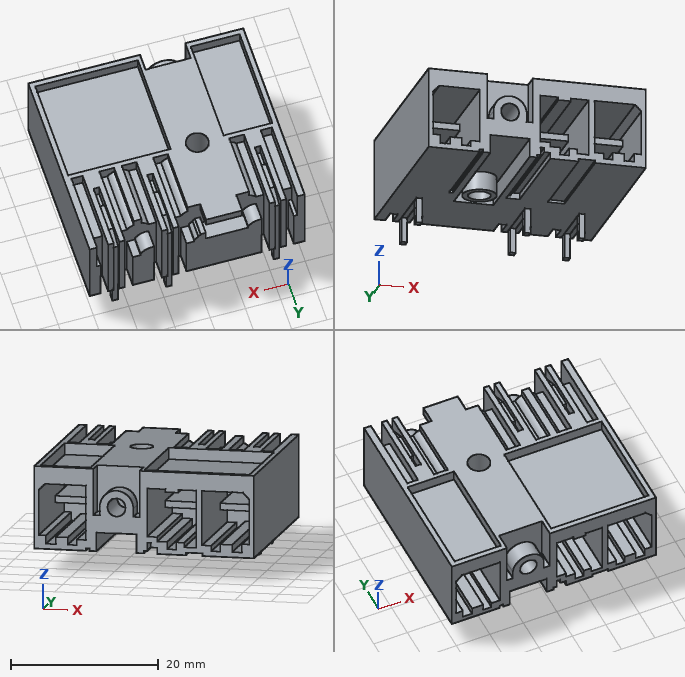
import cadquery as cq
import math

WIDTH = 30.48
DEPTH = 28.3
HEIGHT = 11.4
PITCH = WIDTH / 4
FLANGE_X = 1.5 * PITCH
CONTACT_XS = [0.5 * PITCH, 2.5 * PITCH, 3.5 * PITCH]

CAVITY_DEPTH = 15.88
CAVITY_ROOF = 9.02
CAVITY_CHAMFER = 0.88
GROOVE_FLOOR = 0.73
RIDGE_TOP = 1.75

END_LEFT = 0.65
END_RIGHT = 7.2
END_GROOVE_A = (1.65, 3.02)
END_GROOVE_B = (4.65, 5.9)
END_OUTER_STEP = 1.9
END_INNER_STEP = 1.5

MIDDLE_LEFT = 15.67
MIDDLE_RIGHT = 22.45
MIDDLE_GROOVE = (18.45, 19.7)
MIDDLE_LEFT_STEP = 2.35
MIDDLE_LEFT_STEP_END = 17.07
MIDDLE_RIGHT_STEP = 1.1
MIDDLE_RIGHT_STEP_START = 20.82
MIDDLE_KEY = (18.2, 19.95)
MIDDLE_KEY_HEIGHT = 0.4

RIM = 0.75
TOP_POCKET_DEPTH = 1.6
LEFT_POCKET_END = 7.68
RIGHT_POCKET_START = 15.18

FLANGE_WIDTH = 6.4
FLANGE_RECESS_DEPTH = 2.53
FLANGE_FLOOR = 5.0
SCREW_Z = 6.2
SCREW_BOSS_RADIUS = 2.32
SCREW_HOLE_RADIUS = 1.25
SCREW_HOLE_DEPTH = 6.1

MOUNT_Y = 15.95
MOUNT_HOLE_RADIUS = 1.55
MOUNT_BOSS_RADIUS = 2.35
UNDER_RECESS_WIDTH = 5.55
UNDER_RECESS_HEIGHT = 2.6
UNDER_RECESS_END = 18.9

NOTCH_HEIGHT = 0.37
NARROW_NOTCH = (7.15, 7.68)
WIDE_NOTCH = (21.03, 23.35)
STEPPED_NOTCH = (15.2, 17.07)
STEPPED_PEAK = (15.7, 16.22)
STEPPED_PEAK_HEIGHT = 1.5
STEPPED_RIGHT_HEIGHT = 0.85

GAP_FRONT = 16.55
REAR_STEP_Y = 25.63
GAP_FLOOR = 9.72
FIN_OUTER = 1.2
WALL_HALF = 0.55
OUTER_WALL = 1.05
LEFT_WALLS = [OUTER_WALL, WALL_HALF, WALL_HALF]
RIGHT_WALLS = [WALL_HALF, WALL_HALF, OUTER_WALL]
DOME_RADIUS = 1.83
RIB_HALF = 1.52
DOME_CENTRE_Z = GAP_FLOOR - math.sqrt(DOME_RADIUS**2 - RIB_HALF**2)

DECK_Z = 6.83
RIB_CREST_Z = 8.08
CREST_OFFSET = 1.22
CREST_END = 0.4
OUTER_RIB = 1.55
TAB_WIDTH = 5.12
TAB_THICKNESS = 1.25
KEY_START = 14.02
KEY_END = 14.75
CREST_STEP_X = 15.1
CREST_STEP = 0.12

PLATE_THICKNESS = 0.8
PLATE_FRONT = DEPTH - 9.3
PLATE_BACK = DEPTH - 0.6
PLATE_STEP_Y = DEPTH - 6.8
PLATE_SLOPE_Y = DEPTH - 2.85
PLATE_TOP = 10.6
PLATE_FRONT_TOP = 9.75
PLATE_BACK_TOP = 9.45
BLADE_WIDTH = 4.42
BLADE_THICKNESS = 0.9
BLADE_Z = 5.67
BLADE_TIP_Y = 6.1
PIN_LENGTH = 3.5
PIN_DEPTH = 1.05


def box(x0, x1, y0, y1, z0, z1):
    return cq.Workplane("XY").box(x1 - x0, y1 - y0, z1 - z0, centered=False).translate((x0, y0, z0))


def along_y(points, y0, y1):
    """Prism of an XZ outline between two Y positions."""
    return cq.Workplane("XZ", origin=(0, y0, 0)).polyline(points).close().extrude(y0 - y1)


def rod_y(x, z, radius, y0, y1):
    return cq.Workplane("XZ", origin=(x, y0, z)).circle(radius).extrude(y0 - y1)


def rod_z(x, y, radius, z0, z1):
    return cq.Workplane("XY", origin=(x, y, z0)).circle(radius).extrude(z1 - z0)


def end_cavity():
    a_start, a_end = END_GROOVE_A
    b_start, b_end = END_GROOVE_B
    outline = [
        (END_LEFT, END_OUTER_STEP),
        (a_start, END_OUTER_STEP), (a_start, GROOVE_FLOOR), (a_end, GROOVE_FLOOR), (a_end, RIDGE_TOP),
        (b_start, RIDGE_TOP), (b_start, GROOVE_FLOOR), (b_end, GROOVE_FLOOR), (b_end, END_INNER_STEP),
        (END_RIGHT, END_INNER_STEP), (END_RIGHT, CAVITY_ROOF),
        (END_LEFT + CAVITY_CHAMFER, CAVITY_ROOF), (END_LEFT, CAVITY_ROOF - CAVITY_CHAMFER),
    ]
    return along_y(outline, 0, CAVITY_DEPTH)


def middle_cavity():
    start, end = MIDDLE_GROOVE
    key_start, key_end = MIDDLE_KEY
    key_z = CAVITY_ROOF - MIDDLE_KEY_HEIGHT
    outline = [
        (MIDDLE_LEFT, MIDDLE_LEFT_STEP),
        (MIDDLE_LEFT_STEP_END, MIDDLE_LEFT_STEP), (MIDDLE_LEFT_STEP_END, RIDGE_TOP),
        (start, RIDGE_TOP), (start, GROOVE_FLOOR), (end, GROOVE_FLOOR), (end, RIDGE_TOP),
        (MIDDLE_RIGHT_STEP_START, RIDGE_TOP), (MIDDLE_RIGHT_STEP_START, MIDDLE_RIGHT_STEP),
        (MIDDLE_RIGHT, MIDDLE_RIGHT_STEP), (MIDDLE_RIGHT, CAVITY_ROOF),
        (key_end, CAVITY_ROOF), (key_end, key_z), (key_start, key_z), (key_start, CAVITY_ROOF),
        (MIDDLE_LEFT, CAVITY_ROOF),
    ]
    return along_y(outline, 0, CAVITY_DEPTH)


def bottom_notches():
    start, end = STEPPED_NOTCH
    peak_start, peak_end = STEPPED_PEAK
    outline = [
        (start, 0), (start, NOTCH_HEIGHT), (peak_start, NOTCH_HEIGHT),
        (peak_start, STEPPED_PEAK_HEIGHT), (peak_end, STEPPED_PEAK_HEIGHT),
        (peak_end, STEPPED_RIGHT_HEIGHT), (end, STEPPED_RIGHT_HEIGHT), (end, 0),
    ]
    notches = along_y(outline, 0, CAVITY_DEPTH)
    for x0, x1 in (NARROW_NOTCH, WIDE_NOTCH):
        notches = notches.union(box(x0, x1, 0, CAVITY_DEPTH, 0, NOTCH_HEIGHT))
    return notches


def top_pockets():
    z0 = HEIGHT - TOP_POCKET_DEPTH
    left = box(RIM, LEFT_POCKET_END, RIM, CAVITY_DEPTH, z0, HEIGHT)
    right = box(RIGHT_POCKET_START, WIDTH - RIM, RIM, CAVITY_DEPTH, z0, HEIGHT)
    return left.union(right)


def flange_recess():
    x0 = FLANGE_X - FLANGE_WIDTH / 2
    recess = box(x0, x0 + FLANGE_WIDTH, 0, FLANGE_RECESS_DEPTH, FLANGE_FLOOR, HEIGHT)
    boss = rod_y(FLANGE_X, SCREW_Z, SCREW_BOSS_RADIUS, 0, FLANGE_RECESS_DEPTH)
    foot = box(FLANGE_X - SCREW_BOSS_RADIUS, FLANGE_X + SCREW_BOSS_RADIUS,
               0, FLANGE_RECESS_DEPTH, FLANGE_FLOOR, SCREW_Z)
    hole = rod_y(FLANGE_X, SCREW_Z, SCREW_HOLE_RADIUS, 0, SCREW_HOLE_DEPTH)
    return recess.cut(boss).cut(foot).union(hole)


def underside_recess():
    half = UNDER_RECESS_WIDTH / 2
    recess = box(FLANGE_X - half, FLANGE_X + half, 0, UNDER_RECESS_END, 0, UNDER_RECESS_HEIGHT)
    return recess.cut(rod_z(FLANGE_X, MOUNT_Y, MOUNT_BOSS_RADIUS, 0, UNDER_RECESS_HEIGHT))


def gap(x0, x1):
    return box(x0, x1, GAP_FRONT, REAR_STEP_Y, GAP_FLOOR, HEIGHT)


def rear_gaps():
    """Gaps in the top on both sides of each contact; domes rise from the floor at inner boundaries."""
    gaps = cq.Workplane("XY")
    for x, left_wall, right_wall in zip(CONTACT_XS, LEFT_WALLS, RIGHT_WALLS):
        gaps = gaps.union(gap(x - PITCH / 2 + left_wall, x - FIN_OUTER))
        gaps = gaps.union(gap(x + FIN_OUTER, x + PITCH / 2 - right_wall))
    for boundary in (PITCH, 2 * PITCH, 3 * PITCH):
        gaps = gaps.cut(rod_y(boundary, DOME_CENTRE_Z, DOME_RADIUS, GAP_FRONT, REAR_STEP_Y))
    return gaps


def crest(boundary, start, end, rise):
    """Domed top of a low rib, from start to end across X, raised by rise and ending in a small drop."""
    axis_z = RIB_CREST_Z + rise - DOME_RADIUS
    dome = rod_y(boundary - CREST_OFFSET, axis_z, DOME_RADIUS, REAR_STEP_Y, DEPTH)
    return dome.intersect(box(start, end, REAR_STEP_Y, DEPTH, axis_z, HEIGHT))


def rear_bar(start, end, z_top):
    return box(start, end, REAR_STEP_Y, DEPTH, 0, z_top)


def rear_parts():
    """Walls, fins, ribs and tab that stand behind the rear step."""
    parts = rear_bar(0, OUTER_WALL, HEIGHT)
    parts = parts.union(rear_bar(WIDTH - OUTER_WALL, WIDTH, HEIGHT))
    parts = parts.union(rear_bar(0, OUTER_RIB, DECK_Z))
    parts = parts.union(rear_bar(WIDTH - OUTER_RIB, WIDTH, DECK_Z))
    for x in CONTACT_XS:
        parts = parts.union(rear_bar(x - FIN_OUTER, x + FIN_OUTER, HEIGHT))

    parts = parts.union(rear_bar(PITCH - RIB_HALF, 2 * PITCH + RIB_HALF, DECK_Z))
    parts = parts.union(rear_bar(3 * PITCH - RIB_HALF, 3 * PITCH + RIB_HALF, DECK_Z))
    for boundary in (PITCH, 3 * PITCH):
        parts = parts.union(crest(boundary, boundary - RIB_HALF, boundary + CREST_END, 0))
    parts = parts.union(crest(2 * PITCH, KEY_START, CREST_STEP_X, CREST_STEP))
    parts = parts.union(crest(2 * PITCH, CREST_STEP_X, 2 * PITCH + CREST_END, 0))

    parts = parts.union(rear_bar(KEY_START, KEY_END, RIB_CREST_Z + CREST_STEP))
    tab_x = FLANGE_X - TAB_WIDTH / 2
    tab = box(tab_x, tab_x + TAB_WIDTH, REAR_STEP_Y, DEPTH, HEIGHT - TAB_THICKNESS, HEIGHT)
    return parts.union(tab)


def blade(x):
    half = BLADE_WIDTH / 2
    z0 = BLADE_Z - BLADE_THICKNESS / 2
    return box(x - half, x + half, BLADE_TIP_Y, PLATE_FRONT, z0, z0 + BLADE_THICKNESS)


def make_contact(x):
    """Upright plate with two solder pins and a flat blade that reaches into the plug cavity."""
    profile = [
        (PLATE_FRONT, 0), (PLATE_FRONT, PLATE_FRONT_TOP), (PLATE_STEP_Y, PLATE_FRONT_TOP),
        (PLATE_STEP_Y, PLATE_TOP), (PLATE_SLOPE_Y, PLATE_TOP), (PLATE_BACK, PLATE_BACK_TOP),
        (PLATE_BACK, 0),
    ]
    start_x = x - PLATE_THICKNESS / 2
    end_x = x + PLATE_THICKNESS / 2
    contact = cq.Workplane("YZ", origin=(start_x, 0, 0)).polyline(profile).close().extrude(PLATE_THICKNESS)
    for pin_y in (PLATE_FRONT, PLATE_BACK - PIN_DEPTH):
        contact = contact.union(box(start_x, end_x, pin_y, pin_y + PIN_DEPTH, -PIN_LENGTH, 0))
    return contact.union(blade(x))


def contact_seat(x):
    """Slot open at the top, bottom and back for the plate, and the passage for the blade."""
    half = PLATE_THICKNESS / 2
    slot = box(x - half, x + half, PLATE_FRONT, DEPTH, 0, HEIGHT)
    return slot.union(blade(x))


def make_housing():
    housing = box(0, WIDTH, 0, REAR_STEP_Y, 0, HEIGHT).union(rear_parts())
    left_cavity = end_cavity()
    housing = housing.cut(left_cavity)
    housing = housing.cut(left_cavity.mirror("YZ", (WIDTH / 2, 0, 0)))
    housing = housing.cut(middle_cavity())
    housing = housing.cut(bottom_notches())
    housing = housing.cut(top_pockets())
    housing = housing.cut(flange_recess())
    housing = housing.cut(underside_recess())
    housing = housing.cut(rod_z(FLANGE_X, MOUNT_Y, MOUNT_HOLE_RADIUS, 0, HEIGHT))
    housing = housing.cut(rear_gaps())
    for x in CONTACT_XS:
        housing = housing.cut(contact_seat(x))
    return housing


housing = make_housing()
contacts = [make_contact(x) for x in CONTACT_XS]
result = cq.Compound.makeCompound([housing.val(), *[contact.val() for contact in contacts]])